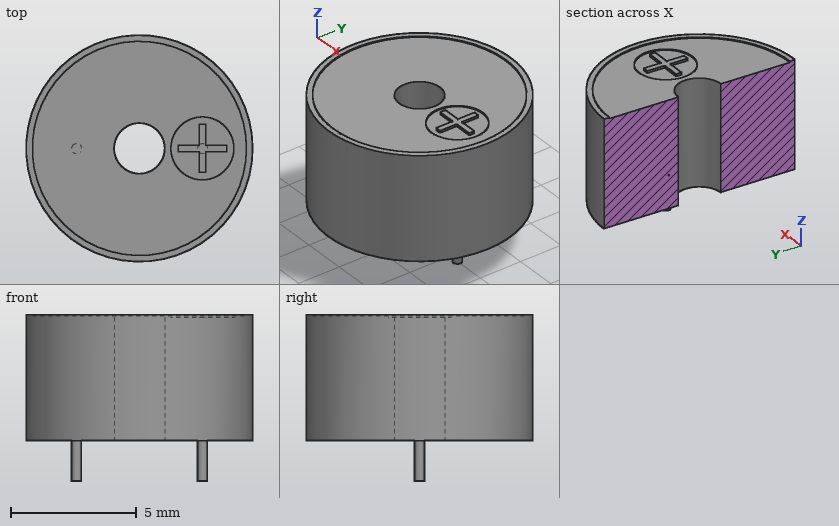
import cadquery as cq


case_diameter = 9.0
case_height = 5.0
sound_hole_diameter = 2.0

step_depth = 0.05
rim_width = 0.25
top_face_diameter = case_diameter - 2 * rim_width
top_face_z = case_height - step_depth

mark_x = 2.5
mark_recess_diameter = 2.5
mark_floor_z = top_face_z - step_depth
plus_length_x = 1.93
plus_length_y = 1.9
plus_bar_width = 0.26
plus_height = case_height - mark_floor_z

pin_diameter = 0.4
pin_length = 1.6
pin_pitch = 5.0


def cylinder(diameter, bottom_z, height, x=0.0):
    """Upright cylinder centred on (x, 0)."""
    return (
        cq.Workplane("XY", origin=(x, 0, bottom_z))
        .circle(diameter / 2)
        .extrude(height)
    )


def make_case():
    """Plain case with a raised rim and a central sound hole."""
    case = cylinder(case_diameter, 0, case_height)
    case = case.cut(cylinder(top_face_diameter, top_face_z, step_depth))
    return case.cut(cylinder(sound_hole_diameter, 0, case_height))


def make_plus_sign():
    """Two crossed bars rising from the floor of the mark recess."""
    floor = cq.Workplane("XY", origin=(mark_x, 0, mark_floor_z))
    bar_along_x = floor.rect(plus_length_x, plus_bar_width).extrude(plus_height)
    bar_along_y = floor.rect(plus_bar_width, plus_length_y).extrude(plus_height)
    return bar_along_x.union(bar_along_y)


def add_polarity_mark(case):
    """Sink the round recess and stand the plus sign in it."""
    recess = cylinder(mark_recess_diameter, mark_floor_z, step_depth, mark_x)
    return case.cut(recess).union(make_plus_sign())


def add_pins(case):
    """Two round pins hanging from the underside."""
    for side in (-1, 1):
        pin = cylinder(pin_diameter, -pin_length, pin_length, side * pin_pitch / 2)
        case = case.union(pin)
    return case


result = add_pins(add_polarity_mark(make_case()))